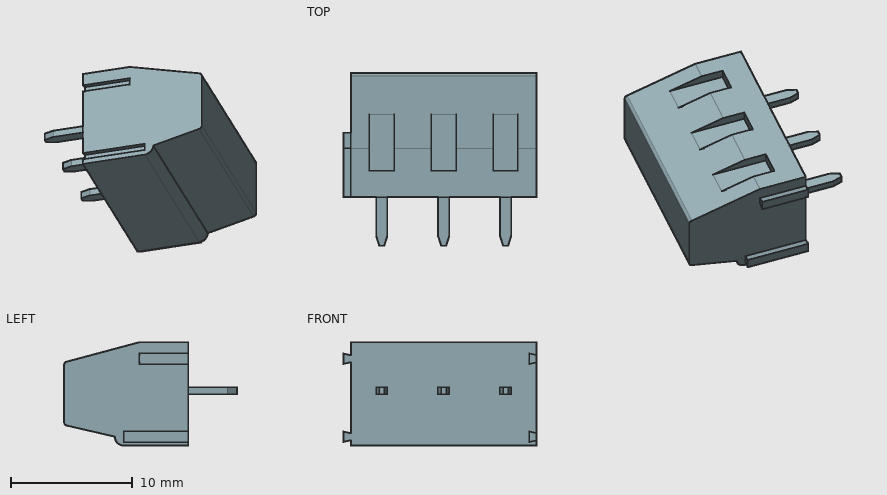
import cadquery as cq
import math


poles = 3
total_width = 15.85
rail_depth = 0.6
body_width = total_width - rail_depth
pitch = body_width / poles
body_depth = 10.2
body_height = 8.5
top_flat = 4.03
top_slope = math.radians(15)
bottom_slope = math.radians(13)
back_edge_radius = 0.3
foot_radius = 0.73

rail_root_height = 0.59
rail_tip_height = 0.87
lower_rail_z = 0.73
upper_rail_z = 7.13
lower_rail_length = 5.31
upper_rail_length = top_flat

pocket_width = 2.03
pocket_front = 2.19
pocket_back = 6.82

pin_length = 4.0
pin_width = 0.94
pin_thickness = 0.6
pin_tip_width = 0.41
pin_tip_length = 0.81
pin_z = 4.5


def top_height(y):
    """Height of the sloping part of the top at depth y."""
    return body_height - (y - top_flat) * math.tan(top_slope)


def make_housing():
    """Side profile in YZ, extruded across all poles, with the back edges rounded."""
    foot_back = lower_rail_length + foot_radius
    arc_offset = foot_radius * math.sqrt(0.5)
    back_bottom = foot_radius + (body_depth - foot_back) * math.tan(bottom_slope)
    profile = (
        cq.Workplane("YZ")
        .lineTo(lower_rail_length, 0)
        .threePointArc(
            (lower_rail_length + arc_offset, foot_radius - arc_offset),
            (foot_back, foot_radius),
        )
        .lineTo(body_depth, back_bottom)
        .lineTo(body_depth, top_height(body_depth))
        .lineTo(top_flat, body_height)
        .lineTo(0, body_height)
        .close()
    )
    return profile.extrude(body_width).faces(">Y").edges("|X").fillet(back_edge_radius)


def make_dovetail(root_x, center_z, length):
    """Dovetail bar running in +Y, widening from its root at root_x toward -X."""
    tip_x = root_x - rail_depth
    return (
        cq.Workplane("XZ")
        .moveTo(root_x, center_z - rail_root_height / 2)
        .lineTo(root_x, center_z + rail_root_height / 2)
        .lineTo(tip_x, center_z + rail_tip_height / 2)
        .lineTo(tip_x, center_z - rail_tip_height / 2)
        .close()
        .extrude(-length)
    )


def make_pocket(center_x):
    """Flat-floored pocket whose floor runs out into the sloping top at its back end."""
    floor_z = top_height(pocket_back)
    return cq.Workplane("XY").box(
        pocket_width,
        pocket_back - pocket_front,
        body_height - floor_z,
        centered=(True, False, False),
    ).translate((center_x, pocket_front, floor_z))


def make_pin(center_x):
    """Flat pin on the -Y face, tapered in width toward its tip."""
    taper_y = pin_tip_length - pin_length
    return (
        cq.Workplane("XY", origin=(center_x, 0, pin_z))
        .moveTo(-pin_width / 2, 0)
        .lineTo(-pin_width / 2, taper_y)
        .lineTo(-pin_tip_width / 2, -pin_length)
        .lineTo(pin_tip_width / 2, -pin_length)
        .lineTo(pin_width / 2, taper_y)
        .lineTo(pin_width / 2, 0)
        .close()
        .extrude(pin_thickness / 2, both=True)
    )


result = make_housing()

for rail_z, rail_length in (
    (lower_rail_z, lower_rail_length),
    (upper_rail_z, upper_rail_length),
):
    result = result.cut(make_dovetail(body_width, rail_z, rail_length))
    result = result.union(make_dovetail(0, rail_z, rail_length))

for pole in range(poles):
    pole_x = (pole + 0.5) * pitch
    result = result.cut(make_pocket(pole_x))
    result = result.union(make_pin(pole_x))